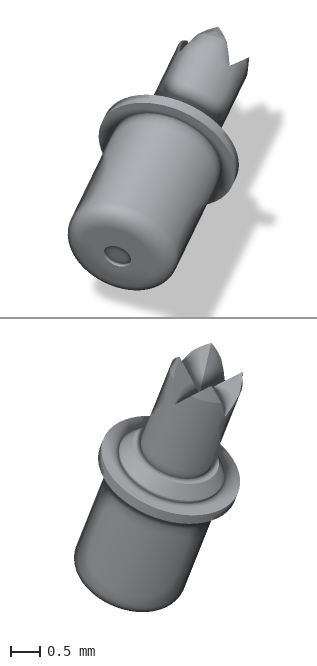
import cadquery as cq
import math

body_radius = 1.0
body_length = 2.5
body_fillet = 0.3
dimple_radius = 0.25
dimple_depth = 0.065

flange_radius = 1.25
flange_thickness = 0.2

collar_radius = 0.95
collar_straight = 0.06
collar_taper_length = 0.24
collar_top_radius = 0.78

shank_radius = 0.65
shank_length = 2.1
tip_taper_length = 0.3
tip_taper_angle = 15.0

groove_angle = 60.0
groove_directions = (45, 135)
groove_overrun = 0.2

body_end = -body_length
collar_start = flange_thickness
taper_start = collar_start + collar_straight
shank_start = taper_start + collar_taper_length
tip_end = shank_start + shank_length
tip_taper_start = tip_end - tip_taper_length

tip_radius = shank_radius - tip_taper_length * math.tan(math.radians(tip_taper_angle))
groove_slope = 1 / math.tan(math.radians(groove_angle / 2))
groove_depth = tip_radius * math.sin(math.radians(groove_directions[0])) * groove_slope


def make_turned_pin():
    """Revolve the stepped half outline (radius along Z) about the Y axis."""
    fillet_offset = body_fillet * math.sqrt(0.5)
    fillet_middle = (
        body_end + body_fillet - fillet_offset,
        body_radius - body_fillet + fillet_offset,
    )
    return (
        cq.Workplane("YZ")
        .moveTo(body_end, 0)
        .lineTo(body_end, body_radius - body_fillet)
        .threePointArc(fillet_middle, (body_end + body_fillet, body_radius))
        .lineTo(0, body_radius)
        .lineTo(0, flange_radius)
        .lineTo(collar_start, flange_radius)
        .lineTo(collar_start, collar_radius)
        .lineTo(taper_start, collar_radius)
        .lineTo(shank_start, collar_top_radius)
        .lineTo(shank_start, shank_radius)
        .lineTo(tip_taper_start, shank_radius)
        .lineTo(tip_end, tip_radius)
        .lineTo(tip_end, 0)
        .close()
        .revolve(360, (0, 0, 0), (1, 0, 0))
    )


def make_groove_cutter(direction):
    """Triangular prism across the crown, turned about the pin axis."""
    cutter_top = tip_end + groove_overrun
    half_width = (groove_depth + groove_overrun) / groove_slope
    return (
        cq.Workplane("XY")
        .moveTo(0, tip_end - groove_depth)
        .lineTo(half_width, cutter_top)
        .lineTo(-half_width, cutter_top)
        .close()
        .extrude(2 * shank_radius, both=True)
        .rotate((0, 0, 0), (0, 1, 0), direction)
    )


def make_dimple():
    """Shallow round recess in the centre of the body end."""
    dimple_axis = cq.Vector(0, 1, 0)
    dimple = cq.Solid.makeCylinder(dimple_radius, dimple_depth, cq.Vector(0, body_end, 0), dimple_axis)
    return cq.Workplane(obj=dimple)


result = make_turned_pin().cut(make_dimple())
for groove_direction in groove_directions:
    result = result.cut(make_groove_cutter(groove_direction))